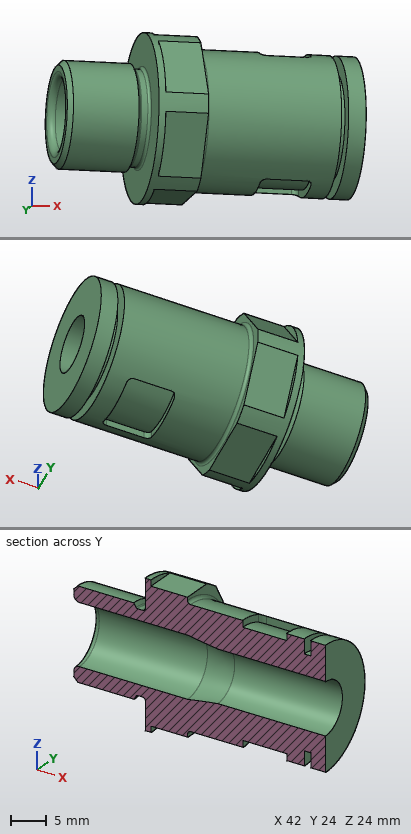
import cadquery as cq
import math

length = 42.0
front_x = -length / 2
back_x = length / 2

spigot_length = 10.1
spigot_radius = 15.2 / 2
spigot_chamfer = 0.7
neck_radius = 13.7 / 2
runout_angle = math.radians(60)
runout_fillet = 0.2
neck_fillet = 0.4

flange_start = 11.93
flange_thickness = 1.0
hex_length = 6.1
flange_radius = 24.0 / 2
hex_across_flats = 22.0
hex_sides = 6

body_radius = 20.0 / 2
body_fillet = 0.5
groove_radius = 15.3 / 2
groove_width = 1.0
end_ring_length = 2.5

pocket_length = 7.25
pocket_width = 9.5
pocket_corner = 0.8
pocket_floor_radius = 8.9
pocket_start = 28.22

mouth_fillet = 1.0
bore_front_radius = 10.0 / 2
bore_back_radius = 8.5 / 2
bore_taper_length = 5.05

spigot_end_x = front_x + spigot_length
runout_end_radius = neck_radius + runout_fillet * (1 - math.cos(runout_angle))
runout_end_x = spigot_end_x + (spigot_radius - runout_end_radius) / math.tan(runout_angle)
neck_start_x = runout_end_x + runout_fillet * math.sin(runout_angle)
flange_x = front_x + flange_start
hex_start_x = flange_x + flange_thickness
hex_end_x = hex_start_x + hex_length
groove_end_x = back_x - end_ring_length
groove_start_x = groove_end_x - groove_width
mouth_end_x = front_x + mouth_fillet
mouth_radius = bore_front_radius + mouth_fillet


def make_turned_body():
    """Solid of revolution about X, from the spigot to the end ring."""
    profile = (
        cq.Workplane("XY")
        .moveTo(front_x, 0)
        .lineTo(front_x, spigot_radius - spigot_chamfer)
        .lineTo(front_x + spigot_chamfer, spigot_radius)
        .lineTo(spigot_end_x, spigot_radius)
        .lineTo(runout_end_x, runout_end_radius)
        .radiusArc((neck_start_x, neck_radius), -runout_fillet)
        .lineTo(flange_x - neck_fillet, neck_radius)
        .radiusArc((flange_x, neck_radius + neck_fillet), -neck_fillet)
        .lineTo(flange_x, flange_radius)
        .lineTo(hex_end_x, flange_radius)
        .lineTo(hex_end_x, body_radius + body_fillet)
        .radiusArc((hex_end_x + body_fillet, body_radius), -body_fillet)
        .lineTo(groove_start_x, body_radius)
        .lineTo(groove_start_x, groove_radius)
        .lineTo(groove_end_x, groove_radius)
        .lineTo(groove_end_x, body_radius)
        .lineTo(back_x, body_radius)
        .lineTo(back_x, 0)
        .close()
    )
    return profile.revolve(360, (0, 0, 0), (1, 0, 0))


def make_flat_cutter(side):
    """Block beyond one hexagon flat; side 0 faces +Z."""
    height = flange_radius
    block = cq.Workplane("XY").box(hex_length, 2 * flange_radius, height)
    block = block.translate(((hex_start_x + hex_end_x) / 2, 0, (hex_across_flats + height) / 2))
    return block.rotate((0, 0, 0), (1, 0, 0), side * 360 / hex_sides)


def make_pocket_cutter():
    """Rounded rectangle through Z, leaving a cylindrical pocket floor."""
    center_x = front_x + pocket_start + pocket_length / 2
    block = cq.Workplane("XY").box(pocket_length, pocket_width, 2 * flange_radius)
    block = block.edges("|Z").fillet(pocket_corner).translate((center_x, 0, 0))
    core = cq.Workplane("YZ", origin=(front_x, 0, 0)).circle(pocket_floor_radius).extrude(length)
    return block.cut(core)


def make_bore_cutter():
    """Through bore with a rounded mouth, tapering down behind the hexagon."""
    profile = (
        cq.Workplane("XY")
        .moveTo(front_x, 0)
        .lineTo(front_x, mouth_radius)
        .radiusArc((mouth_end_x, bore_front_radius), -mouth_fillet)
        .lineTo(hex_end_x, bore_front_radius)
        .lineTo(hex_end_x + bore_taper_length, bore_back_radius)
        .lineTo(back_x, bore_back_radius)
        .lineTo(back_x, 0)
        .close()
    )
    return profile.revolve(360, (0, 0, 0), (1, 0, 0))


result = make_turned_body()
for side in range(hex_sides):
    result = result.cut(make_flat_cutter(side))
result = result.cut(make_pocket_cutter())
result = result.cut(make_bore_cutter())